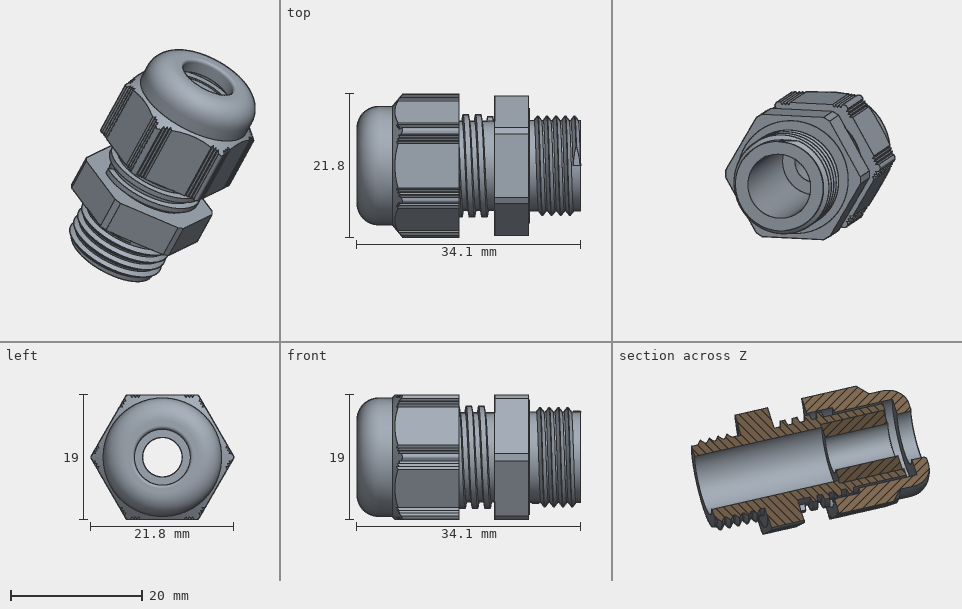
import cadquery as cq
import math


across_flats = 19.0
across_corners = across_flats / math.cos(math.radians(30))

cap_length = 15.58
cap_diameter = 18.1
cap_face_diameter = 11.4
dome_radius = (cap_diameter - cap_face_diameter) / 2
collar_end = 5.4
cone_length = 1.6
cone_rise = 1.9
cap_corner_radius = 0.36
cap_hole_diameter = 8.53
cap_hole_rounding = 0.5
cap_wall = 2.3
cap_bore_diameter = 14.19
cap_bore_end = 11.5
cap_thread_bore_diameter = 16.04

grooves_per_group = 3
groove_width = 0.5
groove_depth = 0.4
groove_group_center = 4.11

body_start = 3.85
body_end = 34.1
neck_diameter = 13.63
body_hex_start = 21.0
body_hex_end = 26.2
body_hex_corner_width = 21.31
washer_face_diameter = 17.5
washer_face_height = 0.08
shank_diameter = 13.86
body_bore_diameter = 9.93

clamp_pitch = 1.91
clamp_turns = 4
clamp_crest_diameter = 15.6
clamp_crest_width = 0.8
clamp_base_width = 1.15
clamp_end = 20.32
clamp_end_angle = 73.5

entry_pitch = 1.4
entry_turns = 4.5
entry_crest_diameter = 15.2
entry_crest_width = 0.1
entry_flank_angle = 38.0
entry_ridge_height = (entry_crest_diameter - shank_diameter) / 2
entry_base_width = entry_crest_width + 2 * entry_ridge_height * math.tan(math.radians(entry_flank_angle))
entry_end = 33.53
entry_start = entry_end - entry_turns * entry_pitch
runout_height = 7.04

seal_diameter = 11.0
seal_hole_diameter = 6.0
seal_start = 4.1
seal_end = 14.0

thread_embed = 0.05


def cylinder(diameter, start, end):
    return cq.Workplane("YZ", origin=(start, 0, 0)).circle(diameter / 2).extrude(end - start)


def hexagon(corner_diameter, start, end):
    """Hexagonal prism along X with corners on the Y axis."""
    return cq.Workplane("YZ", origin=(start, 0, 0)).polygon(6, corner_diameter).extrude(end - start)


def thread_ridge(root_diameter, crest_diameter, base_width, crest_width, pitch, turns, start, start_angle):
    """Right-handed helical ridge along X; the start angle turns from -Z toward +Y."""
    root = root_diameter / 2
    crest = crest_diameter / 2
    flank_slope = (base_width - crest_width) / 2 / (crest - root)
    foot = root - thread_embed
    foot_half = base_width / 2 + thread_embed * flank_slope
    crest_half = crest_width / 2
    helix = cq.Wire.makeHelix(pitch, pitch * turns, root)
    ridge = (
        cq.Workplane("XZ")
        .polyline([(foot, -foot_half), (crest, -crest_half), (crest, crest_half), (foot, foot_half)])
        .close()
        .sweep(cq.Workplane(helix), isFrenet=True)
    )
    return (
        ridge.rotate((0, 0, 0), (0, 0, 1), start_angle)
        .rotate((0, 0, 0), (0, 1, 0), 90)
        .translate((start, 0, 0))
    )


def cap_envelope():
    """Round outline of the cap: dome, collar, cone and the corners' cylinder."""
    face_radius = cap_face_diameter / 2
    collar_radius = cap_diameter / 2
    arc_offset = dome_radius * math.sin(math.radians(45))
    cone_end = collar_end + cone_length
    return (
        cq.Workplane("XY")
        .moveTo(0, 0)
        .lineTo(0, face_radius)
        .threePointArc((dome_radius - arc_offset, face_radius + arc_offset), (dome_radius, collar_radius))
        .lineTo(collar_end, collar_radius)
        .lineTo(cone_end, collar_radius + cone_rise)
        .lineTo(cap_length, collar_radius + cone_rise)
        .lineTo(cap_length, 0)
        .close()
        .revolve(360, (0, 0, 0), (1, 0, 0))
    )


def grip_grooves():
    """V-grooves near both ends of every flat, as one cutter per flat."""
    flat = across_flats / 2
    half = groove_width / 2
    top_flat = cq.Workplane("YZ")
    for side in (-1, 1):
        for i in range(grooves_per_group):
            middle = side * groove_group_center + (i - (grooves_per_group - 1) / 2) * groove_width
            top_flat = (
                top_flat.moveTo(middle - half, flat)
                .lineTo(middle, flat - groove_depth)
                .lineTo(middle + half, flat)
                .close()
            )
    top_flat = top_flat.extrude(cap_length)
    return [top_flat.rotate((0, 0, 0), (1, 0, 0), 60 * k) for k in range(6)]


def make_cap():
    hex_part = hexagon(across_corners, 0, cap_length).edges("|X").fillet(cap_corner_radius)
    for grooves in grip_grooves():
        hex_part = hex_part.cut(grooves)
    cap = hex_part.intersect(cap_envelope())
    cap = cap.cut(cylinder(cap_hole_diameter, 0, cap_wall))
    cap = cap.faces("<X").edges(cq.selectors.RadiusNthSelector(0)).fillet(cap_hole_rounding)
    cap = cap.cut(cylinder(cap_bore_diameter, cap_wall, cap_bore_end))
    return cap.cut(cylinder(cap_thread_bore_diameter, cap_bore_end, cap_length))


def body_hexagon():
    """Hexagon whose corners are flattened by a second hexagon turned by 30 degrees."""
    corner_cutter = hexagon(body_hex_corner_width / math.cos(math.radians(30)), body_hex_start, body_hex_end)
    corner_cutter = corner_cutter.rotate((0, 0, 0), (1, 0, 0), 30)
    return hexagon(across_corners, body_hex_start, body_hex_end).intersect(corner_cutter)


def clamping_thread():
    return thread_ridge(
        neck_diameter, clamp_crest_diameter, clamp_base_width, clamp_crest_width,
        clamp_pitch, clamp_turns, clamp_end - clamp_turns * clamp_pitch, clamp_end_angle,
    )


def entry_thread():
    """Ridge from -Z to +Z, shaved flat where it starts and where it stops."""
    ridge = thread_ridge(
        shank_diameter, entry_crest_diameter, entry_base_width, entry_crest_width,
        entry_pitch, entry_turns, entry_start, 0,
    )
    shave_width = entry_crest_diameter / 2
    shave_height = entry_crest_diameter / 2 - runout_height + thread_embed
    shaver = cq.Workplane("XY").box(entry_pitch, shave_width, shave_height, centered=(True, False, False))
    ridge = ridge.cut(shaver.translate((entry_end, 0, runout_height)))
    return ridge.cut(shaver.translate((entry_start, 0, -runout_height - shave_height)))


def make_body():
    washer_face_end = body_hex_end + washer_face_height
    body = (
        cylinder(neck_diameter, body_start, body_hex_start)
        .union(body_hexagon())
        .union(cylinder(washer_face_diameter, body_hex_end, washer_face_end))
        .union(cylinder(shank_diameter, washer_face_end, body_end))
        .union(clamping_thread())
        .union(entry_thread())
    )
    body = body.cut(cylinder(seal_diameter, body_start, seal_end))
    return body.cut(cylinder(body_bore_diameter, seal_end, body_end))


def make_seal():
    seal = cylinder(seal_diameter, seal_start, seal_end)
    return seal.cut(cylinder(seal_hole_diameter, seal_start, seal_end))


cap = make_cap()
body = make_body()
seal = make_seal()

result = cq.Compound.makeCompound([cap.val(), body.val(), seal.val()])